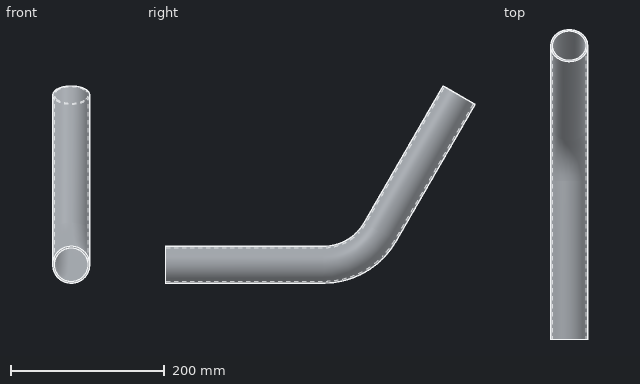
import cadquery as cq
import math

overall_length = 402.8
outer_diameter = 48.5
inner_diameter = 43.5
bend_radius = 84.5
bend_angle = 60.0

outer_radius = outer_diameter / 2
bend_sin = math.sin(math.radians(bend_angle))
bend_cos = math.cos(math.radians(bend_angle))
leg_length = (overall_length - (bend_radius + outer_radius) * bend_sin) / (1 + bend_cos)


def bend_point(angle):
    """Centreline point (Y, Z) of the bend after turning by the given angle in degrees."""
    turn = math.radians(angle)
    return (
        leg_length + bend_radius * math.sin(turn),
        bend_radius * (1 - math.cos(turn)),
    )


def centreline():
    """Level leg along +Y, upward bend, then the rising leg."""
    bend_end_y, bend_end_z = bend_point(bend_angle)
    tip = (bend_end_y + leg_length * bend_cos, bend_end_z + leg_length * bend_sin)
    return (
        cq.Workplane("YZ")
        .lineTo(leg_length, 0)
        .threePointArc(bend_point(bend_angle / 2), bend_point(bend_angle))
        .lineTo(*tip)
    )


tube_section = cq.Workplane("XZ").circle(outer_radius).circle(inner_diameter / 2)
result = tube_section.sweep(centreline())